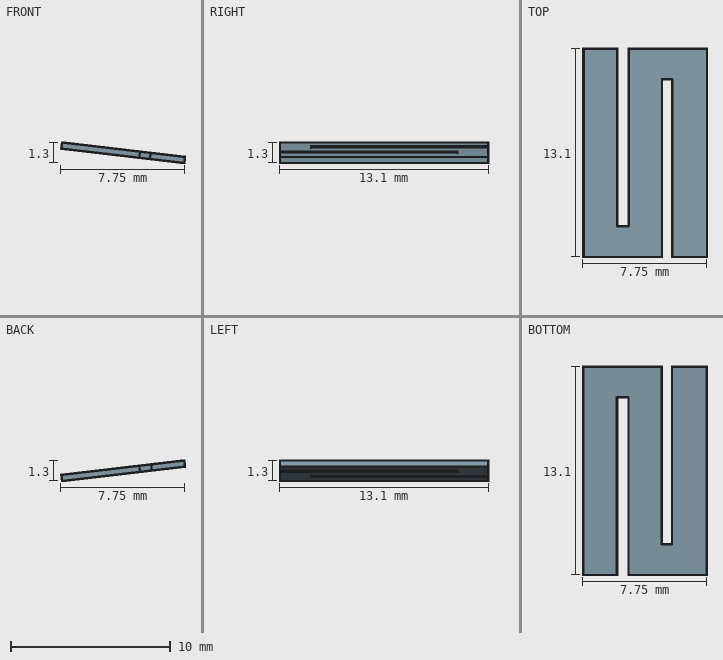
import cadquery as cq

length = 13.05
width = 7.76
thickness = 0.4
tilt_angle = 6.7

slot_depth = 11.12
left_strip_width = 2.1
left_slot_width = 0.75
right_slot_width = 0.67
right_strip_width = 2.18


def end_slot(x_center, slot_width, open_end):
    """Cutter for a slot open at the +Y end (open_end = 1) or the -Y end (open_end = -1)."""
    y_center = open_end * (length - slot_depth) / 2
    return cq.Workplane("XY").center(x_center, y_center).box(slot_width, slot_depth, thickness)


left_slot_x = -width / 2 + left_strip_width + left_slot_width / 2
right_slot_x = width / 2 - right_strip_width - right_slot_width / 2

plate = cq.Workplane("XY").box(width, length, thickness)
plate = plate.cut(end_slot(left_slot_x, left_slot_width, 1))
plate = plate.cut(end_slot(right_slot_x, right_slot_width, -1))

result = plate.rotate((0, 0, 0), (0, 1, 0), tilt_angle)